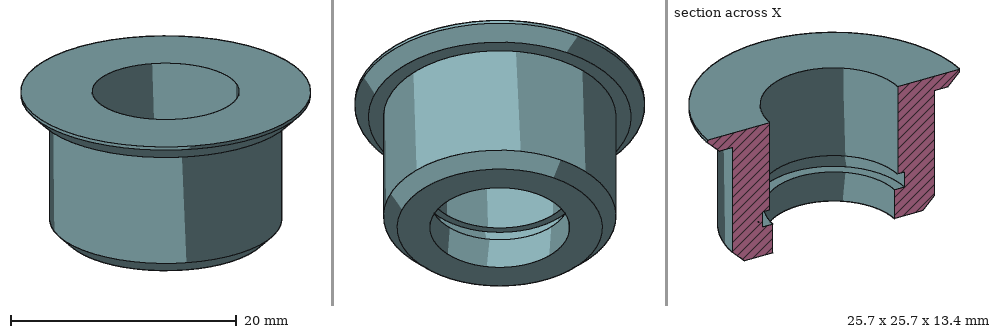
import cadquery as cq

flange_diameter = 25.7
body_diameter = 20.6
total_height = 13.45
flange_thickness = 1.52
chamfer = 1.2

upper_bore_diameter = 13.03
lower_bore_diameter = 12.4
upper_bore_depth = 8.97
groove_diameter = 14.4
groove_width = 1.5

body = cq.Workplane("XY").circle(body_diameter / 2).extrude(total_height)
body = body.faces("<Z").chamfer(chamfer)

flange = (
    cq.Workplane("XY")
    .workplane(offset=total_height - flange_thickness)
    .circle(flange_diameter / 2)
    .extrude(flange_thickness)
    .faces("<Z")
    .chamfer(chamfer)
)

def bore_section(diameter, top_z, depth):
    return cq.Workplane("XY").workplane(offset=top_z - depth).circle(diameter / 2).extrude(depth)


groove_top = total_height - upper_bore_depth
upper_bore = bore_section(upper_bore_diameter, total_height, upper_bore_depth)
groove = bore_section(groove_diameter, groove_top, groove_width)
lower_bore = bore_section(lower_bore_diameter, total_height, total_height)

result = body.union(flange).cut(upper_bore).cut(groove).cut(lower_bore)